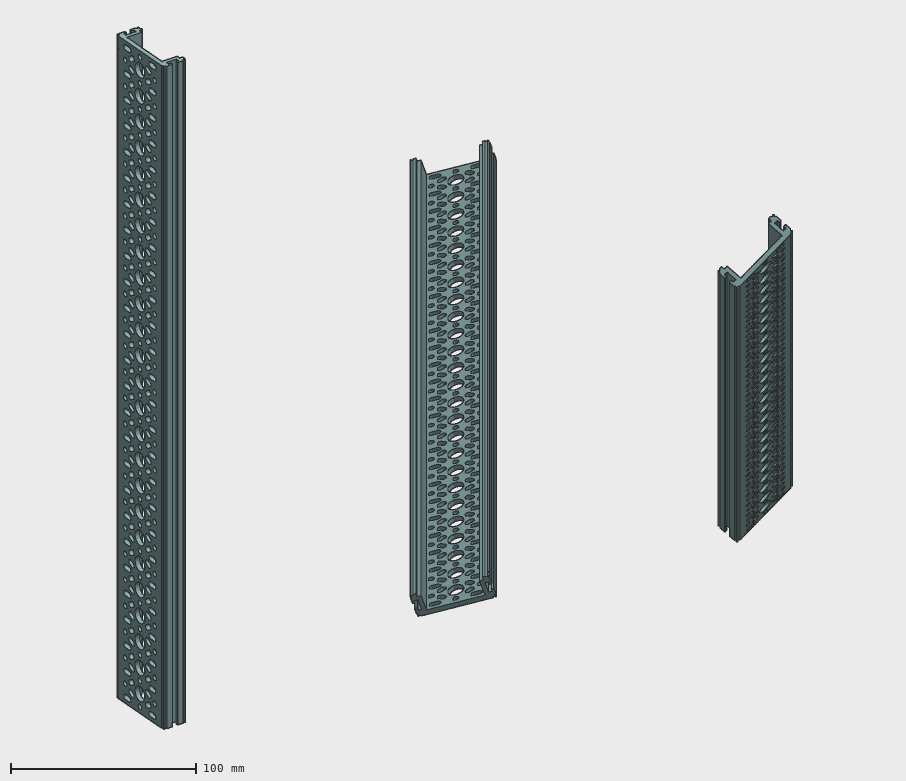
import cadquery as cq
import math

LENGTH = 408.0
WIDTH = 45.0
HEIGHT = 15.0

WEB_THICKNESS = 3.0
FLANGE_THICKNESS = 6.0
TOP_LIP_THICKNESS = 3.75
TOP_LIP_HEIGHT = 2.0
CORNER_RADIUS = 1.4

GROOVE_RADIUS = 0.65
GROOVE_OFFSET = 1.5

SLOT_OPENING = 3.2
SLOT_MOUTH_CHAMFER = 0.3
SLOT_LIP = 1.5
SLOT_ROOM_WIDTH = 6.4
SLOT_DEPTH = 3.5

PITCH = 16.0
BORE_COUNT = 25
BORE_DIAMETER = 9.0
SCREW_DIAMETER = 3.2
RAY_ANGLE = 30.0
LEVEL_SLOT_START = 10.1
LEVEL_SLOT_END = 13.4
SLANTED_SLOT_START = 8.05
SLANTED_SLOT_END = 10.2

bore_heights = [(i - (BORE_COUNT - 1) / 2) * PITCH for i in range(BORE_COUNT)]
screw_heights = [(i - BORE_COUNT / 2) * PITCH for i in range(BORE_COUNT + 1)]
side_hole_x = PITCH / 2 / math.tan(math.radians(RAY_ANGLE))


def channel():
    """C-shaped extrusion with its web on the -Y side and a thinner lip on top of each flange."""
    top = HEIGHT / 2
    web_top = WEB_THICKNESS - top
    ledge = top - TOP_LIP_HEIGHT
    flange_x = WIDTH / 2 - FLANGE_THICKNESS
    lip_x = WIDTH / 2 - TOP_LIP_THICKNESS
    body = cq.Workplane("XY").box(WIDTH, HEIGHT, LENGTH).edges("|Z").fillet(CORNER_RADIUS)
    cavity = (
        cq.Workplane("XY", origin=(0, 0, -LENGTH / 2))
        .moveTo(-flange_x, web_top)
        .lineTo(flange_x, web_top)
        .lineTo(flange_x, ledge)
        .lineTo(lip_x, ledge)
        .lineTo(lip_x, top)
        .lineTo(-lip_x, top)
        .lineTo(-lip_x, ledge)
        .lineTo(-flange_x, ledge)
        .close()
        .extrude(LENGTH)
    )
    return body.cut(cavity)


def t_slot(side):
    """Cutter for the T-slot in the +X (side = 1) or -X (side = -1) flange, with a chamfered mouth."""
    outer = WIDTH / 2
    neck = SLOT_OPENING / 2
    room = SLOT_ROOM_WIDTH / 2
    half = [
        (outer, neck + SLOT_MOUTH_CHAMFER),
        (outer - SLOT_MOUTH_CHAMFER, neck),
        (outer - SLOT_LIP, neck),
        (outer - SLOT_LIP, room),
        (outer - SLOT_DEPTH, room),
    ]
    outline = half + [(x, -y) for x, y in reversed(half)]
    plane = cq.Workplane("XY", origin=(0, 0, -LENGTH / 2))
    return plane.polyline([(side * x, y) for x, y in outline]).close().extrude(LENGTH)


def corner_grooves():
    """Two lengthwise round grooves beside each of the four outer corners."""
    x, y = WIDTH / 2, HEIGHT / 2
    centres = []
    for side in (-1, 1):
        for end in (-1, 1):
            centres.append((side * (x - GROOVE_OFFSET), end * y))
            centres.append((side * x, end * (y - GROOVE_OFFSET)))
    plane = cq.Workplane("XY", origin=(0, 0, -LENGTH / 2))
    return plane.pushPoints(centres).circle(GROOVE_RADIUS).extrude(LENGTH)


def web_cutter(points, outline):
    """Solids through the web, made by drawing `outline` at each (x, z) point."""
    plane = cq.Workplane("XZ", origin=(0, WEB_THICKNESS - HEIGHT / 2, 0))
    return outline(plane.pushPoints(points)).extrude(WEB_THICKNESS).vals()


def ray_slots(angle, start, end):
    """Slots along the ray at `angle` from every small centre hole, between two end-centre radii."""
    middle = (start + end) / 2
    dx = middle * math.cos(math.radians(angle))
    dz = middle * math.sin(math.radians(angle))
    points = [(dx, z + dz) for z in screw_heights if abs(z + dz) < LENGTH / 2 - SCREW_DIAMETER]
    length = end - start + SCREW_DIAMETER
    return web_cutter(points, lambda plane: plane.slot2D(length, SCREW_DIAMETER, angle))


def web_holes():
    bores = [(0, z) for z in bore_heights]
    screws = [(0, z) for z in screw_heights]
    screws += [(side * side_hole_x, z) for z in bore_heights for side in (-1, 1)]
    solids = web_cutter(bores, lambda plane: plane.circle(BORE_DIAMETER / 2))
    solids += web_cutter(screws, lambda plane: plane.circle(SCREW_DIAMETER / 2))
    for angle in (0, 180):
        solids += ray_slots(angle, LEVEL_SLOT_START, LEVEL_SLOT_END)
    for angle in (RAY_ANGLE, 180 - RAY_ANGLE, 180 + RAY_ANGLE, -RAY_ANGLE):
        solids += ray_slots(angle, SLANTED_SLOT_START, SLANTED_SLOT_END)
    return cq.Workplane(cq.Compound.makeCompound(solids))


result = channel().cut(t_slot(1)).cut(t_slot(-1)).cut(corner_grooves()).cut(web_holes())